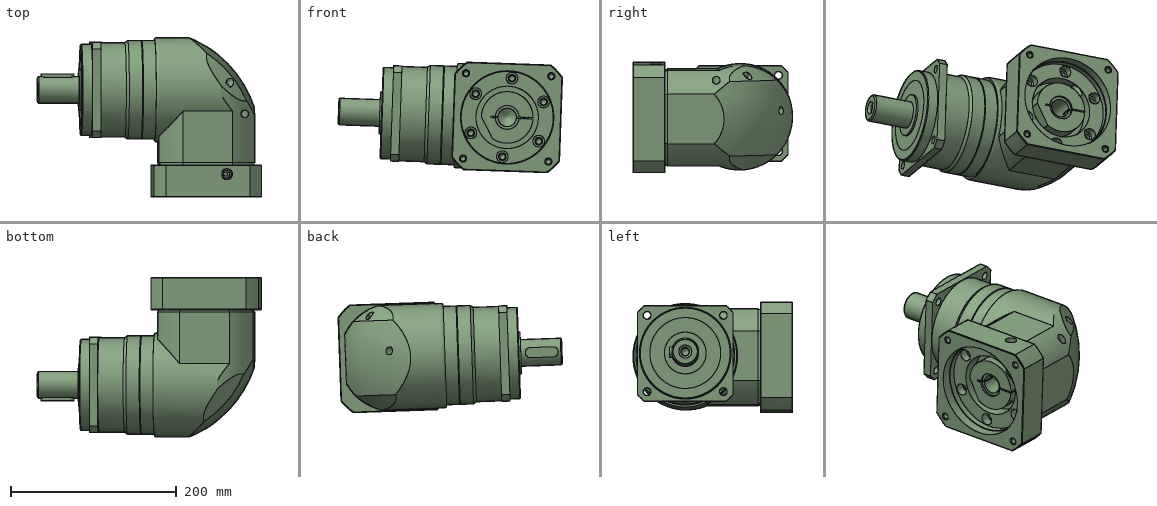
import cadquery as cq
import math

TILT_ANGLE = 2.0

SHAFT_RADIUS = 16.3
SHAFT_TIP_X = -204.0
SHAFT_TIP_CHAMFER = 1.5
COLLAR_RADIUS = 25.2
COLLAR_FRONT_X = -154.0
CENTRE_HOLE_RADIUS = 5.0
CENTRE_HOLE_MOUTH_RADIUS = 8.0
CENTRE_HOLE_DEPTH = 24.5
DRILL_POINT_ANGLE = 118.0

KEY_FRONT_X = -199.5
KEY_BACK_X = -159.5
KEY_WIDTH = 12.2
KEY_TOP_Y = 19.3
KEY_BOTTOM_Y = 10.3

HOUSING_FRONT_X = -152.0
SPIGOT_RADIUS = 55.3
SPIGOT_CHAMFER = 1.0
FLANGE_FRONT_X = -139.2
FLANGE_BACK_X = -129.0
FLANGE_SIDE = 115.5
FLANGE_CORNER_CHAMFER = 8.1
FLANGE_HOLE_SPACING = 92.2
FLANGE_HOLE_RADIUS = 4.5
BARREL_RADIUS = 57.2
BARREL_BACK_X = -98.5
GEAR_RING_FRONT_X = -95.0
GEAR_RING_RADIUS = 59.7
JOINT_X = -78.5
JOINT_CHAMFER = 0.5

SEAL_RADIUS = 42.9
SEAL_BACK_X = -143.8

RIM_FRONT_X = -62.5
RIM_FRONT_RADIUS = 62.0
RIM_BACK_X = -58.3
ELBOW_RADIUS = 63.2
LEG_RADIUS = 65.0
LEG_FLAT_DISTANCE = 57.8
NECK_TOP_Y = -88.0
NECK_INSET = 0.8
DOME_RADIUS = 136.7
DOME_CENTRE_X = -71.5
DOME_CENTRE_Y = -63.8
DOME_BEVEL_REACH = 174.2
DOME_HOLE_RADIUS = 4.5
DOME_HOLE_CENTRES = [(12.8, 51.5), (-31.7, 8.1)]
DOME_HOLE_FLOOR = 21.7
SIDE_HOLE_RADIUS = 4.5
SIDE_HOLE_X = 45.3
SIDE_HOLE_Y = -29.0
SIDE_HOLE_FLOOR_Z = 32.5

PLATE_FRONT_Y = -129.7
PLATE_BACK_Y = -90.5
PLATE_SIDE = 130.2
PLATE_CORNER_RADIUS = 82.5
PLATE_EDGE_CHAMFER = 0.8
PILOT_RADIUS = 56.5
PILOT_STEP_RADIUS = 55.5
PILOT_STEP_Y = -117.2
PILOT_FLOOR_Y = -109.3
CLAMP_POCKET_RADIUS = 37.7
MOTOR_HOLE_SPACING = 103.0
MOTOR_HOLE_RADIUS = 3.3
MOTOR_HOLE_MOUTH_RADIUS = 4.3
MOTOR_HOLE_DEPTH = 16.3
BOLT_CIRCLE_RADIUS = 47.7
BOLT_COUNT = 6
BOLT_START_ANGLE = 25.0
BOLT_HEAD_RADIUS = 7.0
BOLT_HEAD_SEAT_Y = -97.7
BOLT_RADIUS = 4.5
THREAD_RADIUS = 3.5
THREAD_DEPTH = 16.3
ACCESS_HOLE_RADIUS = 6.5

HUB_RADIUS = 31.2
HUB_FRONT_Y = -109.5
HUB_STEM_RADIUS = 16.3
HUB_STEM_END_Y = -54.3
HUB_FLAT_DISTANCE = 27.5
HUB_FLAT_ANGLE = 209.0
BORE_RADIUS = 11.0
BORE_MOUTH_RADIUS = 14.5
BORE_MOUTH_DEPTH = 2.7
BORE_END_Y = -70.5
SLOT_WIDTH = 1.5
SLOT_END_X = -19.8

SCREW_X = 23.0
SCREW_Y = -101.7
SCREW_HEAD_RADIUS = 4.5
SCREW_HEAD_TOP_Z = 10.9
SCREW_HEAD_HEIGHT = 5.5
SCREW_RADIUS = 2.7
SCREW_END_Z = -16.3
SOCKET_RADIUS = 2.5
SOCKET_DEPTH = 3.3


def revolve_about_x(points):
    """Revolve a closed outline of (x, radius) points about the output axis."""
    return cq.Workplane("XY").polyline(points).close().revolve(360, (0, 0, 0), (1, 0, 0))


def x_cylinder(radius, start_x, end_x):
    return cq.Workplane("YZ").workplane(offset=start_x).circle(radius).extrude(end_x - start_x)


def y_plane(y):
    """Workplane across the input axis; its normal points along +Y into the gearbox."""
    return cq.Workplane(cq.Plane(origin=(0, y, 0), xDir=(1, 0, 0), normal=(0, 1, 0)))


def y_cylinder(radius, start_y, end_y):
    return y_plane(start_y).circle(radius).extrude(end_y - start_y)


def z_cylinder(radius, x, y, start_z, end_z):
    return cq.Workplane("XY").workplane(offset=start_z).center(x, y).circle(radius).extrude(end_z - start_z)


def drill(mouth, direction, radius, depth, mouth_radius=None):
    """Drilled hole with a conical end and, if asked for, a 45 degree countersink."""
    tip = radius / math.tan(math.radians(DRILL_POINT_ANGLE / 2))
    outline = [(0, 0)]
    if mouth_radius is None:
        outline += [(radius, 0)]
    else:
        outline += [(mouth_radius, 0), (radius, mouth_radius - radius)]
    outline += [(radius, depth), (0, depth + tip)]
    hole = cq.Workplane("XY").polyline(outline).close().revolve(360, (0, 0, 0), (0, 1, 0))
    if direction == "x":
        hole = hole.rotate((0, 0, 0), (0, 0, 1), -90)
    return hole.translate(mouth)


def square_corners(spacing):
    half = spacing / 2
    return [(a, b) for a in (-half, half) for b in (-half, half)]


def bolt_positions():
    """(x, z) centres of the bolts that hold the plate on the elbow."""
    angles = [math.radians(BOLT_START_ANGLE + i * 360 / BOLT_COUNT) for i in range(BOLT_COUNT)]
    return [(BOLT_CIRCLE_RADIUS * math.cos(a), BOLT_CIRCLE_RADIUS * math.sin(a)) for a in angles]


def make_key():
    middle_x = (KEY_FRONT_X + KEY_BACK_X) / 2
    return (
        y_plane(KEY_BOTTOM_Y)
        .center(middle_x, 0)
        .slot2D(KEY_BACK_X - KEY_FRONT_X, KEY_WIDTH)
        .extrude(KEY_TOP_Y - KEY_BOTTOM_Y)
    )


def make_shaft(key):
    shaft = x_cylinder(SHAFT_RADIUS, SHAFT_TIP_X, COLLAR_FRONT_X).faces("<X").chamfer(SHAFT_TIP_CHAMFER)
    shaft = shaft.union(x_cylinder(COLLAR_RADIUS, COLLAR_FRONT_X, SEAL_BACK_X))
    centre_hole = drill(
        (SHAFT_TIP_X, 0, 0), "x", CENTRE_HOLE_RADIUS, CENTRE_HOLE_DEPTH, CENTRE_HOLE_MOUTH_RADIUS
    )
    return shaft.cut(centre_hole).cut(key)


def make_seal():
    disc = x_cylinder(SEAL_RADIUS, HOUSING_FRONT_X, SEAL_BACK_X)
    return disc.cut(x_cylinder(COLLAR_RADIUS, HOUSING_FRONT_X, SEAL_BACK_X))


def make_housing():
    body = revolve_about_x(
        [
            (HOUSING_FRONT_X, 0),
            (HOUSING_FRONT_X, SPIGOT_RADIUS - SPIGOT_CHAMFER),
            (HOUSING_FRONT_X + SPIGOT_CHAMFER, SPIGOT_RADIUS),
            (FLANGE_FRONT_X, SPIGOT_RADIUS),
            (FLANGE_FRONT_X, BARREL_RADIUS),
            (BARREL_BACK_X, BARREL_RADIUS),
            (GEAR_RING_FRONT_X, GEAR_RING_RADIUS),
            (JOINT_X - JOINT_CHAMFER, GEAR_RING_RADIUS),
            (JOINT_X, GEAR_RING_RADIUS - JOINT_CHAMFER),
            (JOINT_X, 0),
        ]
    )
    flange = (
        cq.Workplane("YZ")
        .workplane(offset=FLANGE_FRONT_X)
        .rect(FLANGE_SIDE, FLANGE_SIDE)
        .extrude(FLANGE_BACK_X - FLANGE_FRONT_X)
        .edges("|X")
        .chamfer(FLANGE_CORNER_CHAMFER)
    )
    holes = (
        cq.Workplane("YZ")
        .workplane(offset=FLANGE_FRONT_X)
        .pushPoints(square_corners(FLANGE_HOLE_SPACING))
        .circle(FLANGE_HOLE_RADIUS)
        .extrude(FLANGE_BACK_X - FLANGE_FRONT_X)
    )
    seal_seat = x_cylinder(SEAL_RADIUS, HOUSING_FRONT_X, SEAL_BACK_X)
    return body.union(flange).cut(holes).cut(seal_seat)


def make_main_barrel():
    """Round part of the elbow on the output axis, with the rounded rim at its front."""
    rim_middle = ((RIM_FRONT_X * 2 + RIM_BACK_X) / 3, (RIM_FRONT_RADIUS + 2 * ELBOW_RADIUS) / 3)
    return (
        cq.Workplane("XY")
        .moveTo(JOINT_X, 0)
        .lineTo(JOINT_X, GEAR_RING_RADIUS - JOINT_CHAMFER)
        .lineTo(JOINT_X + JOINT_CHAMFER, GEAR_RING_RADIUS)
        .lineTo(RIM_FRONT_X, GEAR_RING_RADIUS)
        .lineTo(RIM_FRONT_X, RIM_FRONT_RADIUS)
        .threePointArc(rim_middle, (RIM_BACK_X, ELBOW_RADIUS))
        .lineTo(LEG_FLAT_DISTANCE, ELBOW_RADIUS)
        .lineTo(LEG_FLAT_DISTANCE, 0)
        .close()
        .revolve(360, (0, 0, 0), (1, 0, 0))
    )


def make_leg(start_y, end_y, inset):
    """Round leg with four flats on the input axis, made smaller all round by the inset."""
    width = 2 * (LEG_FLAT_DISTANCE - inset)
    flats = y_plane(start_y).rect(width, width).extrude(end_y - start_y)
    return y_cylinder(LEG_RADIUS - inset, start_y, end_y).intersect(flats)


def make_dome():
    """Sphere around the whole elbow with a 45 degree cone above and below."""
    double_cone = (
        cq.Workplane("XZ")
        .polyline([(0, -DOME_BEVEL_REACH), (DOME_BEVEL_REACH, 0), (0, DOME_BEVEL_REACH)])
        .close()
        .revolve(360, (0, 0, 0), (0, 1, 0))
    )
    dome = cq.Workplane("XY").sphere(DOME_RADIUS).intersect(double_cone)
    return dome.translate((DOME_CENTRE_X, DOME_CENTRE_Y, 0))


def make_elbow():
    barrel = make_main_barrel()
    beside = x_cylinder(2 * ELBOW_RADIUS, 0, LEG_RADIUS)
    barrel = barrel.cut(beside.cut(y_cylinder(LEG_RADIUS, -2 * ELBOW_RADIUS, 2 * ELBOW_RADIUS)))
    leg = make_leg(NECK_TOP_Y, 0, 0)
    neck = make_leg(PLATE_BACK_Y, NECK_TOP_Y, NECK_INSET)
    elbow = barrel.union(leg).union(neck)

    elbow = elbow.intersect(make_dome())
    dome_holes = (
        cq.Workplane(cq.Plane(origin=(0, 0, 0), xDir=(1, -1, 0), normal=(1, 1, 0)))
        .workplane(offset=DOME_HOLE_FLOOR)
        .pushPoints([(across, -z) for across, z in DOME_HOLE_CENTRES])
        .circle(DOME_HOLE_RADIUS)
        .extrude(DOME_RADIUS)
    )
    side_hole = z_cylinder(SIDE_HOLE_RADIUS, SIDE_HOLE_X, SIDE_HOLE_Y, SIDE_HOLE_FLOOR_Z, LEG_RADIUS)
    elbow = elbow.cut(dome_holes).cut(side_hole)

    for x, z in bolt_positions():
        elbow = elbow.cut(drill((x, PLATE_BACK_Y, z), "y", THREAD_RADIUS, THREAD_DEPTH))
    return elbow.cut(y_cylinder(HUB_STEM_RADIUS, PLATE_BACK_Y, HUB_STEM_END_Y))


def make_plate():
    thickness = PLATE_BACK_Y - PLATE_FRONT_Y
    plate = y_plane(PLATE_FRONT_Y).rect(PLATE_SIDE, PLATE_SIDE).extrude(thickness)
    plate = plate.intersect(y_cylinder(PLATE_CORNER_RADIUS, PLATE_FRONT_Y, PLATE_BACK_Y))
    plate = plate.faces("<Y or >Y").chamfer(PLATE_EDGE_CHAMFER)

    plate = plate.cut(y_cylinder(PILOT_RADIUS, PLATE_FRONT_Y, PILOT_STEP_Y))
    plate = plate.cut(y_cylinder(PILOT_STEP_RADIUS, PILOT_STEP_Y, PILOT_FLOOR_Y))
    plate = plate.cut(y_cylinder(CLAMP_POCKET_RADIUS, PILOT_FLOOR_Y, PLATE_BACK_Y))

    for x, z in square_corners(MOTOR_HOLE_SPACING):
        mouth = (x, PLATE_FRONT_Y, z)
        plate = plate.cut(drill(mouth, "y", MOTOR_HOLE_RADIUS, MOTOR_HOLE_DEPTH, MOTOR_HOLE_MOUTH_RADIUS))

    bolts = bolt_positions()
    heads = y_plane(PILOT_FLOOR_Y).pushPoints([(x, -z) for x, z in bolts])
    plate = plate.cut(heads.circle(BOLT_HEAD_RADIUS).extrude(BOLT_HEAD_SEAT_Y - PILOT_FLOOR_Y))
    plate = plate.cut(heads.circle(BOLT_RADIUS).extrude(PLATE_BACK_Y - PILOT_FLOOR_Y))

    return plate.cut(z_cylinder(ACCESS_HOLE_RADIUS, SCREW_X, SCREW_Y, 0, PLATE_SIDE / 2))


def make_hub():
    hub = y_cylinder(HUB_RADIUS, HUB_FRONT_Y, PLATE_BACK_Y)
    flat = (
        cq.Workplane("XY")
        .box(HUB_RADIUS, 2 * HUB_RADIUS, 2 * HUB_RADIUS, centered=(False, True, True))
        .translate((HUB_FLAT_DISTANCE, HUB_FRONT_Y, 0))
        .rotate((0, 0, 0), (0, 1, 0), -HUB_FLAT_ANGLE)
    )
    slot = (
        cq.Workplane("XY")
        .box(HUB_RADIUS - SLOT_END_X, PLATE_BACK_Y - HUB_FRONT_Y, SLOT_WIDTH, centered=(False, False, True))
        .translate((SLOT_END_X, HUB_FRONT_Y, 0))
    )
    hub = hub.cut(flat).cut(slot)
    hub = hub.union(y_cylinder(HUB_STEM_RADIUS, PLATE_BACK_Y, HUB_STEM_END_Y))
    hub = hub.cut(drill((0, HUB_FRONT_Y, 0), "y", BORE_RADIUS, BORE_END_Y - HUB_FRONT_Y))
    hub = hub.cut(y_cylinder(BORE_MOUTH_RADIUS, HUB_FRONT_Y, HUB_FRONT_Y + BORE_MOUTH_DEPTH))

    head_seat_z = SCREW_HEAD_TOP_Z - SCREW_HEAD_HEIGHT
    hub = hub.cut(z_cylinder(SCREW_HEAD_RADIUS, SCREW_X, SCREW_Y, head_seat_z, HUB_RADIUS))
    return hub.cut(z_cylinder(SCREW_RADIUS, SCREW_X, SCREW_Y, SCREW_END_Z, head_seat_z))


def make_screw():
    head_seat_z = SCREW_HEAD_TOP_Z - SCREW_HEAD_HEIGHT
    screw = z_cylinder(SCREW_RADIUS, SCREW_X, SCREW_Y, SCREW_END_Z, head_seat_z)
    screw = screw.union(z_cylinder(SCREW_HEAD_RADIUS, SCREW_X, SCREW_Y, head_seat_z, SCREW_HEAD_TOP_Z))
    socket_floor_z = SCREW_HEAD_TOP_Z - SOCKET_DEPTH
    return screw.cut(z_cylinder(SOCKET_RADIUS, SCREW_X, SCREW_Y, socket_floor_z, SCREW_HEAD_TOP_Z))


key = make_key()
shaft = make_shaft(key)
seal = make_seal()
housing = make_housing()
hub = make_hub()
elbow = make_elbow()
plate = make_plate()
screw = make_screw()

bodies = [shaft, key, seal, housing, elbow, plate, hub, screw]
result = cq.Compound.makeCompound([body.rotate((0, 0, 0), (0, 1, 0), TILT_ANGLE).val() for body in bodies])